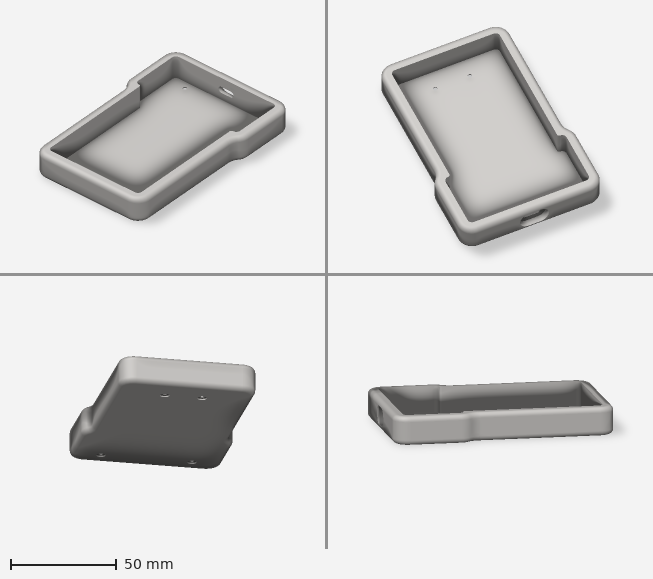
import cadquery as cq
import math

LENGTH = 107.0
HEAD_WIDTH = 73.0
NECK_WIDTH = 66.0
HEIGHT = 13.8
CORNER_RADIUS = 7.3
SHOULDER_START = 32.0
EDGE_ROUNDING = 2.5

WALL = 5.0
FLOOR = 1.2
INNER_STEP_RADIUS = 1.1

HOLE_DIAMETER = 2.1
HEAD_BORE_DIAMETER = 4.5
HEAD_BORE_DEPTH = 0.6
HEAD_HOLE_SPACING = 44.0
HEAD_HOLE_INSET = 9.1
NECK_HOLE_SPACING = 18.1
NECK_HOLE_INSET = 14.4

SLOT_WIDTH = 9.2
SLOT_HEIGHT = 3.4
SLOT_LIP = 1.8
RECESS_WIDTH = 15.0
RECESS_HEIGHT = 9.0

HEAD_END = LENGTH / 2
NECK_END = -LENGTH / 2
SHOULDER_TOP = HEAD_END - SHOULDER_START
DIAGONAL = math.sqrt(0.5)


def half_outline_start(half_head, head_end, radius):
    """Trace the +X half from the head end's middle to the start of the shoulder."""
    corner_x = half_head - radius
    corner_y = head_end - radius
    return (
        cq.Workplane("XY")
        .moveTo(0, head_end)
        .lineTo(corner_x, head_end)
        .threePointArc((corner_x + radius * DIAGONAL, corner_y + radius * DIAGONAL), (half_head, corner_y))
        .lineTo(half_head, SHOULDER_TOP)
    )


def finish_outline(path, half_neck, neck_end, radius):
    """Continue down the neck, round its corner and mirror the half across YZ."""
    corner_x = half_neck - radius
    corner_y = neck_end + radius
    return (
        path.lineTo(half_neck, corner_y)
        .threePointArc((corner_x + radius * DIAGONAL, corner_y - radius * DIAGONAL), (corner_x, neck_end))
        .lineTo(0, neck_end)
        .mirrorY()
    )


def make_body():
    """Rounded block whose shoulders are S-curves of two equal tangent arcs."""
    half_head = HEAD_WIDTH / 2
    half_neck = NECK_WIDTH / 2
    sweep = math.acos(1 - (half_head - half_neck) / (2 * CORNER_RADIUS))
    half_sweep_in = CORNER_RADIUS * (1 - math.cos(sweep / 2))
    half_sweep_down = CORNER_RADIUS * math.sin(sweep / 2)
    middle = ((half_head + half_neck) / 2, SHOULDER_TOP - CORNER_RADIUS * math.sin(sweep))
    shoulder_bottom = 2 * middle[1] - SHOULDER_TOP

    path = half_outline_start(half_head, HEAD_END, CORNER_RADIUS)
    path = path.threePointArc((half_head - half_sweep_in, SHOULDER_TOP - half_sweep_down), middle)
    path = path.threePointArc(
        (half_neck + half_sweep_in, shoulder_bottom + half_sweep_down),
        (half_neck, shoulder_bottom),
    )
    outline = finish_outline(path, half_neck, NECK_END, CORNER_RADIUS)
    return outline.extrude(HEIGHT).faces("<Z or >Z").edges().fillet(EDGE_ROUNDING)


def make_cavity():
    """Pocket with a square, rounded step between head and neck."""
    half_head = HEAD_WIDTH / 2 - WALL
    half_neck = NECK_WIDTH / 2 - WALL
    radius = CORNER_RADIUS - WALL
    corner_x = half_head - radius
    step_y = SHOULDER_TOP - radius
    step_x = half_neck + INNER_STEP_RADIUS
    step_bottom = step_y - INNER_STEP_RADIUS

    path = half_outline_start(half_head, HEAD_END - WALL, radius)
    path = path.threePointArc(
        (corner_x + radius * DIAGONAL, SHOULDER_TOP - radius * DIAGONAL),
        (corner_x, step_y),
    )
    path = path.lineTo(step_x, step_y)
    path = path.threePointArc(
        (step_x - INNER_STEP_RADIUS * DIAGONAL, step_bottom + INNER_STEP_RADIUS * DIAGONAL),
        (half_neck, step_bottom),
    )
    outline = finish_outline(path, half_neck, NECK_END + WALL, radius)
    return outline.extrude(HEIGHT).translate((0, 0, FLOOR))


def make_screw_holes():
    """Two pairs of holes, one near each end, counterbored from below."""
    head_y = HEAD_END - HEAD_HOLE_INSET
    neck_y = NECK_END + NECK_HOLE_INSET
    centers = []
    for spacing, y in ((HEAD_HOLE_SPACING, head_y), (NECK_HOLE_SPACING, neck_y)):
        centers += [(-spacing / 2, y), (spacing / 2, y)]
    places = cq.Workplane("XY").pushPoints(centers)
    holes = places.circle(HOLE_DIAMETER / 2).extrude(HEIGHT)
    head_bores = places.circle(HEAD_BORE_DIAMETER / 2).extrude(HEAD_BORE_DEPTH)
    return holes.union(head_bores)


def make_connector_slot():
    """Round-ended slot with a larger plug recess cut from the outer face."""
    outer_face = cq.Workplane("XZ", origin=(0, HEAD_END, HEIGHT / 2))
    slot = outer_face.slot2D(SLOT_WIDTH, SLOT_HEIGHT).extrude(2 * WALL)
    recess = outer_face.slot2D(RECESS_WIDTH, RECESS_HEIGHT).extrude(WALL - SLOT_LIP)
    return slot.union(recess)


result = make_body().cut(make_cavity()).cut(make_screw_holes()).cut(make_connector_slot())